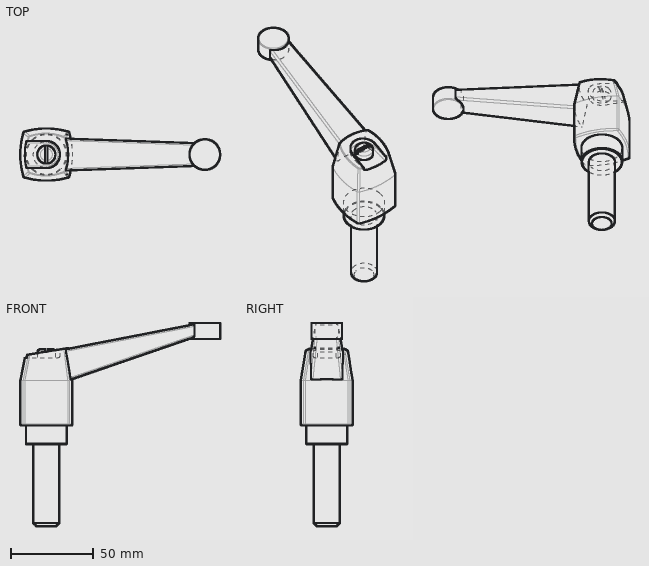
import cadquery as cq
import math


stud_diameter = 16.0
stud_length = 50.0
stud_chamfer = 2.0
collar_diameter = 25.0
collar_height = 11.4
collar_chamfer = 0.4

hub_half_width = 16.0
hub_corner = 13.9
hub_corner_radius = 1.6
hub_straight_height = 27.3
hub_taper = 9.5
hub_lean = 2.0
hub_taper_height = 24.0
hub_bottom_fillet = 1.0
hub_top_fillet = 0.6
hub_bottom = collar_height
hub_waist = hub_bottom + hub_straight_height
hub_top_center = 56.5
hub_top_tilt = 9.4

recess_radius = 8.3
recess_floor = 52.7
recess_floor_fillet = 1.2
screw_diameter = 11.0
screw_top = 57.9
screw_fillet = 1.8
screw_slot_width = 1.4
screw_slot_depth = 1.7

overall_length = 122.0
knob_diameter = 18.8
knob_top = 74.0
knob_height = 10.0
knob_fillet = 0.5
knob_x = overall_length - hub_half_width - knob_diameter / 2

arm_root_x = 9.0
arm_root_top = 57.4
arm_root_bottom = 37.3
arm_root_width = 19.8
arm_tip_x = 93.0
arm_tip_top = 73.7
arm_tip_bottom = 66.2
arm_tip_width = 13.9
arm_edge_fillet = 1.3


def make_stud():
    stud = cq.Workplane("XY").workplane(offset=-stud_length)
    stud = stud.circle(stud_diameter / 2).extrude(stud_length + collar_height)
    stud = stud.faces("<Z").chamfer(stud_chamfer)
    collar = cq.Workplane("XY").circle(collar_diameter / 2).extrude(collar_height)
    collar = collar.faces("<Z").edges().chamfer(collar_chamfer)
    return stud.union(collar)


def hub_section(inset, height):
    """Wire of four outward-bulging arcs with rounded corners, drawn in by inset."""
    half_width = hub_half_width - inset
    corner = hub_corner - inset
    outline = (
        cq.Workplane("XY")
        .workplane(offset=height)
        .moveTo(-corner, -corner)
        .threePointArc((0, -half_width), (corner, -corner))
        .threePointArc((half_width, 0), (corner, corner))
        .threePointArc((0, half_width), (-corner, corner))
        .threePointArc((-half_width, 0), (-corner, -corner))
        .close()
        .wires()
        .val()
    )
    return outline.fillet2D(hub_corner_radius, outline.Vertices())


def make_hub():
    waist_section = hub_section(0, hub_waist)
    lower = cq.Workplane(cq.Solid.makeLoft([hub_section(0, hub_bottom), waist_section], True))
    lower = lower.faces("<Z").edges().fillet(hub_bottom_fillet)

    taper_inset = hub_taper_height * math.tan(math.radians(hub_taper))
    lean_shift = hub_taper_height * math.tan(math.radians(hub_lean))
    taper_end = hub_section(taper_inset, hub_waist + hub_taper_height).translate(cq.Vector(lean_shift, 0, 0))
    upper = cq.Workplane(cq.Solid.makeLoft([waist_section, taper_end], True))
    upper = upper.intersect(below_hub_top())
    upper = upper.faces(">Z").edges().fillet(hub_top_fillet)
    return lower.union(upper)


def below_hub_top():
    """Everything under the tilted plane of the hub top."""
    reach = 2 * hub_half_width
    rise = reach * math.tan(math.radians(hub_top_tilt))
    outline = [
        (-reach, 0),
        (reach, 0),
        (reach, hub_top_center + rise),
        (-reach, hub_top_center - rise),
    ]
    return cq.Workplane("XZ").polyline(outline).close().extrude(reach, both=True)


def make_arm():
    def section(x, bottom, top, width):
        plane = cq.Plane(origin=(x, 0, (bottom + top) / 2), xDir=(0, 1, 0), normal=(1, 0, 0))
        return cq.Workplane(plane).rect(width, top - bottom).wires().val()

    root = section(arm_root_x, arm_root_bottom, arm_root_top, arm_root_width)
    tip = section(arm_tip_x, arm_tip_bottom, arm_tip_top, arm_tip_width)
    arm = cq.Workplane(cq.Solid.makeLoft([root, tip], True))
    return arm.edges("not(#X)").fillet(arm_edge_fillet)


def make_knob():
    knob = cq.Workplane("XY").workplane(offset=knob_top - knob_height).center(knob_x, 0)
    knob = knob.circle(knob_diameter / 2).extrude(knob_height)
    return knob.edges().fillet(knob_fillet)


def make_recess():
    depth = hub_top_center
    base = cq.Workplane("XY").workplane(offset=recess_floor)
    round_end = base.circle(recess_radius).extrude(depth)
    channel = base.center(-hub_half_width / 2, 0).rect(hub_half_width, 2 * recess_radius).extrude(depth)
    return round_end.union(channel).faces("<Z").edges().fillet(recess_floor_fillet)


def make_screw():
    height = screw_top - recess_floor
    screw = cq.Workplane("XY").workplane(offset=recess_floor).circle(screw_diameter / 2).extrude(height)
    screw = screw.faces(">Z").edges().fillet(screw_fillet)
    slot = cq.Workplane("XY").workplane(offset=screw_top - screw_slot_depth)
    slot = slot.rect(screw_slot_width, screw_diameter).extrude(screw_slot_depth)
    return screw.cut(slot)


hub = make_hub()
body = hub.union(make_arm()).union(make_knob())
body = body.cut(make_recess()).union(make_screw())
result = body.union(make_stud())